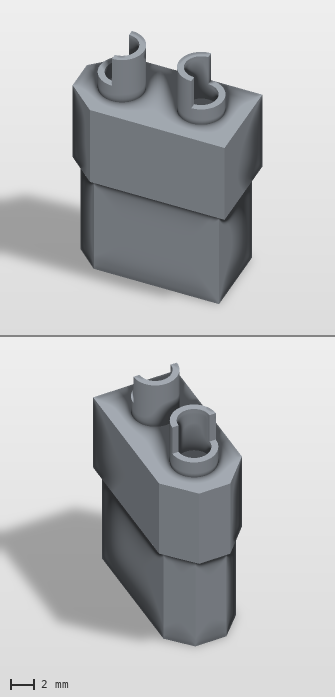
import cadquery as cq

plug_length = 14.0
plug_width = 7.0
plug_height = 10.0
plug_chamfer_x = 2.15

shell_length = 15.5
shell_width = 8.0
shell_height = 8.0
shell_chamfer_x = 2.75

nose_flat = 3.0

cup_spacing = 7.5
cup_outer_diameter = 4.2
cup_inner_diameter = 3.0
cup_ring_height = 1.7
cup_height = 4.7

shell_top = plug_height + shell_height


def housing_section(length, width, chamfer_x, base_z, height):
    """Rectangular prism with both corners of its -X end cut off."""
    half_length = length / 2
    half_width = width / 2
    half_flat = nose_flat / 2
    outline = [
        (-half_length, -half_flat),
        (-half_length + chamfer_x, -half_width),
        (half_length, -half_width),
        (half_length, half_width),
        (-half_length + chamfer_x, half_width),
        (-half_length, half_flat),
    ]
    return cq.Workplane("XY").workplane(offset=base_z).polyline(outline).close().extrude(height)


def solder_cup(center_x, open_side):
    """Tube on the shell top, cut to a half tube above its ring; open_side is -1 or +1 along X."""
    cup = (
        cq.Workplane("XY", origin=(center_x, 0, shell_top))
        .circle(cup_outer_diameter / 2)
        .circle(cup_inner_diameter / 2)
        .extrude(cup_height)
    )
    opening_x = center_x + open_side * cup_outer_diameter / 2
    opening = cq.Workplane("XY", origin=(opening_x, 0, shell_top + cup_ring_height)).box(
        cup_outer_diameter,
        cup_outer_diameter,
        cup_height - cup_ring_height,
        centered=(True, True, False),
    )
    return cup.cut(opening)


plug = housing_section(plug_length, plug_width, plug_chamfer_x, 0, plug_height)
shell = housing_section(shell_length, shell_width, shell_chamfer_x, plug_height, shell_height)
result = plug.union(shell)

for side in (-1, 1):
    cup_x = side * cup_spacing / 2
    result = result.union(solder_cup(cup_x, side))